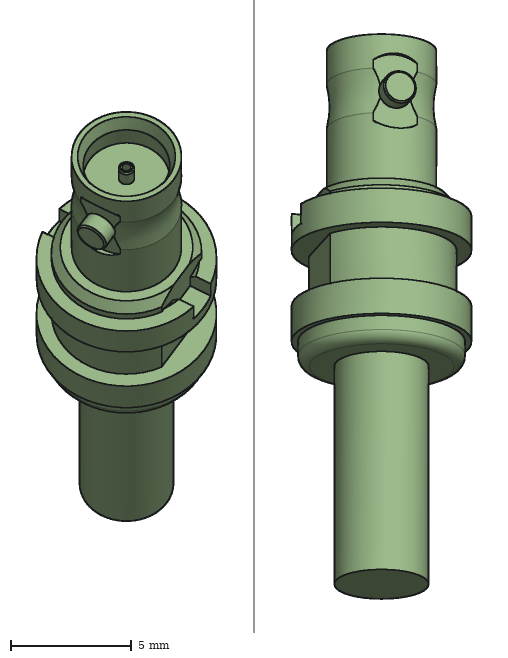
import cadquery as cq

total_height = 23.35
sleeve_bottom = 9.55
sleeve_top = 10.62
collar_top = 12.17
ring_bottom = 14.62
ring_top = 16.1
bevel_bottom = 16.46
body_top = 16.88

collar_diameter = 7.5
cable_radius = 1.95
sleeve_radius = 3.48
collar_radius = collar_diameter / 2
body_radius = 3.13
bevel_radius = 2.75
barrel_radius = 2.29

body_flat_x = 2.69
ring_seat_radius = 3.04
ring_seat_depth = 0.35
notch_width = 1.35
notch_depth = 0.86
sleeve_fillet = 0.47

lug_height = 20.9
waist_half_height = 0.98
waist_radius = 2.17
lug_radius = 0.7
lug_reach = 2.85
lug_chamfer = 0.07
spotface_radius = 1.63
spotface_y = 2.08

mouth_radius = 2.03
mouth_depth = 0.6
floor_radius = 1.8
socket_depth = 1.55
contact_radius = 0.33
contact_bore_radius = 0.19
contact_length = 0.77
contact_chamfer = 0.07


def cylinder(radius, bottom, top):
    """Solid cylinder on the Z axis between two heights."""
    return cq.Workplane("XY").workplane(offset=bottom).circle(radius).extrude(top - bottom)


def make_body():
    """Bevelled body with one flat on the +X side."""
    bevel_height = body_top - bevel_bottom
    body = cylinder(body_radius, collar_top, body_top)
    body = body.faces(">Z").chamfer(bevel_height, body_radius - bevel_radius)
    keep_depth = body_radius + body_flat_x
    keep = cq.Workplane("XY").box(keep_depth, 2 * body_radius, total_height, centered=(False, True, False))
    return body.intersect(keep.translate((-body_radius, 0, 0)))


def make_ring():
    """Upper ring with a conical seat and a notch across both X sides of its top face."""
    ring = cylinder(collar_radius, ring_bottom, ring_top)
    seat = (
        cq.Workplane("XY")
        .workplane(offset=ring_top)
        .circle(ring_seat_radius)
        .workplane(offset=-ring_seat_depth)
        .circle(body_flat_x)
        .loft()
    )
    ring = ring.cut(seat)
    notch = cq.Workplane("XY").box(2 * collar_radius, notch_width, notch_depth, centered=(True, True, False))
    return ring.cut(notch.translate((0, 0, ring_top - notch_depth)))


def make_barrel():
    """Barrel with a waist, spotfaced and carrying a lug on each Y side."""
    barrel = (
        cq.Workplane("XZ")
        .moveTo(0, body_top)
        .lineTo(barrel_radius, body_top)
        .lineTo(barrel_radius, lug_height - waist_half_height)
        .threePointArc((waist_radius, lug_height), (barrel_radius, lug_height + waist_half_height))
        .lineTo(barrel_radius, total_height)
        .lineTo(0, total_height)
        .close()
        .revolve(360, (0, 0), (0, 1))
    )
    spotface = (
        cq.Workplane("XZ", origin=(0, -spotface_y, lug_height))
        .circle(spotface_radius)
        .extrude(barrel_radius)
    )
    lug = (
        cq.Workplane("XZ", origin=(0, -floor_radius, lug_height))
        .circle(lug_radius)
        .extrude(lug_reach - floor_radius)
        .faces("<Y")
        .chamfer(lug_chamfer)
    )
    for angle in (0, 180):
        barrel = barrel.cut(spotface.rotate((0, 0, 0), (0, 0, 1), angle))
        barrel = barrel.union(lug.rotate((0, 0, 0), (0, 0, 1), angle))
    return barrel


def make_socket():
    """Material removed from the barrel: a tapered mouth above a straight bore with a flat floor."""
    return (
        cq.Workplane("XZ")
        .moveTo(0, total_height)
        .lineTo(mouth_radius, total_height)
        .lineTo(floor_radius, total_height - mouth_depth)
        .lineTo(floor_radius, total_height - socket_depth)
        .lineTo(0, total_height - socket_depth)
        .close()
        .revolve(360, (0, 0), (0, 1))
    )


def make_contact():
    """Hollow centre contact standing on the socket floor."""
    floor = total_height - socket_depth
    contact = cylinder(contact_radius, floor, floor + contact_length)
    contact = contact.faces(">Z").chamfer(contact_chamfer)
    return contact.cut(cylinder(contact_bore_radius, floor, total_height))


sleeve = cylinder(sleeve_radius, sleeve_bottom, sleeve_top).faces("<Z").edges().fillet(sleeve_fillet)

result = (
    cylinder(cable_radius, 0, sleeve_bottom)
    .union(sleeve)
    .union(cylinder(collar_radius, sleeve_top, collar_top))
    .union(make_ring())
    .union(make_body())
    .union(make_barrel())
    .cut(make_socket())
    .union(make_contact())
)